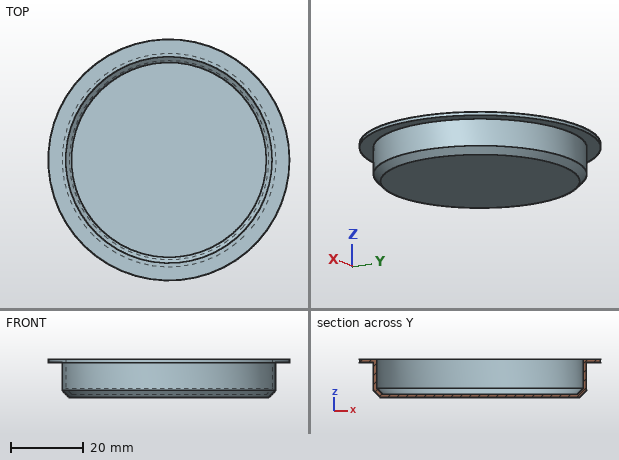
import cadquery as cq

flange_diameter = 66.7
body_diameter = 59.0
bore_diameter = 57.0
height = 10.7
flange_thickness = 1.0
floor_thickness = 1.0
outer_chamfer = 2.0
inner_chamfer = 1.6

body = (
    cq.Workplane("XY")
    .circle(body_diameter / 2)
    .extrude(height)
    .faces("<Z")
    .edges()
    .chamfer(outer_chamfer)
)

flange = (
    cq.Workplane("XY")
    .workplane(offset=height - flange_thickness)
    .circle(flange_diameter / 2)
    .extrude(flange_thickness)
)

cavity = (
    cq.Workplane("XY")
    .workplane(offset=floor_thickness)
    .circle(bore_diameter / 2)
    .extrude(height - floor_thickness)
    .faces("<Z")
    .edges()
    .chamfer(inner_chamfer)
)

result = body.union(flange).cut(cavity)